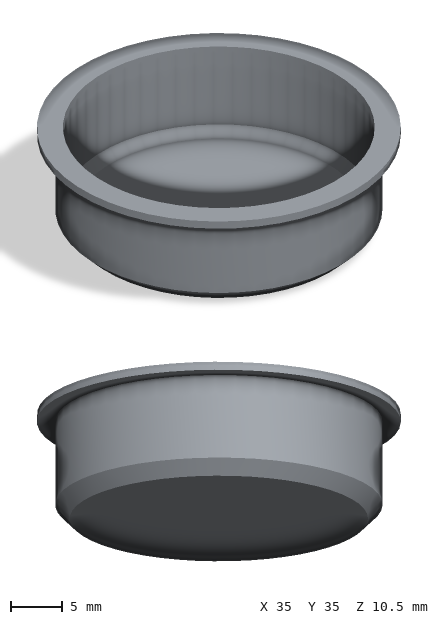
import cadquery as cq

flange_diameter = 35
body_diameter = 31.5
bore_diameter = 30.0
floor_diameter = 28
height = 10.5
flange_thickness = 0.8
outer_chamfer = 1.4

wall = (body_diameter - bore_diameter) / 2
inner_chamfer = (bore_diameter - floor_diameter) / 2


def make_body():
    """Round cup blank with a chamfered bottom edge."""
    return cq.Workplane("XY").circle(body_diameter / 2).extrude(height).faces("<Z").chamfer(outer_chamfer)


def make_flange():
    """Thin disc flush with the open end of the cup."""
    flange_base = height - flange_thickness
    return cq.Workplane("XY").workplane(offset=flange_base).circle(flange_diameter / 2).extrude(flange_thickness)


def make_cavity():
    """Blind bore that narrows to the floor with a 45 degree chamfer."""
    bore = cq.Workplane("XY").workplane(offset=wall).circle(bore_diameter / 2).extrude(height - wall)
    return bore.faces("<Z").chamfer(inner_chamfer)


result = make_body().union(make_flange()).cut(make_cavity())